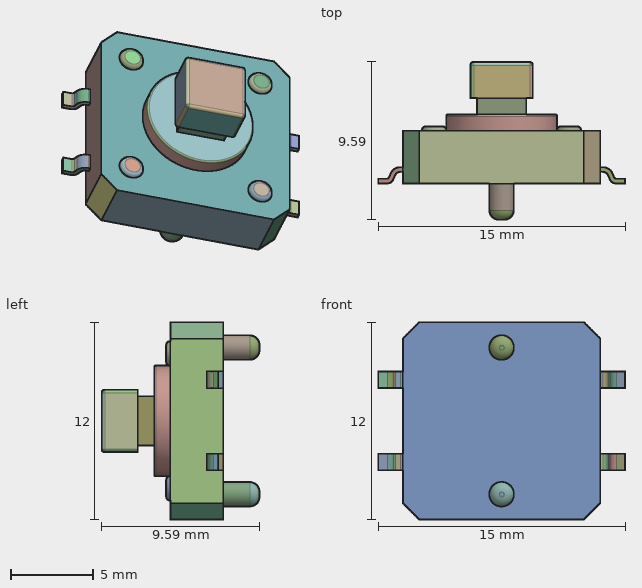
import cadquery as cq
import math


housing_side = 12.0
housing_depth = 3.21
corner_bevel = 1.0

peg_diameter = 1.5
peg_length = 2.2
peg_offset = 4.45
peg_tip_diameter = 0.3

disc_diameter = 6.75
disc_height = 0.99
disc_edge_radius = 0.1
stem_side = 3.0
stem_height = 0.99
cap_side = 3.8
cap_height = 2.2
cap_edge_radius = 0.2

rivet_diameter = 1.5
rivet_height = 0.27
rivet_edge_radius = 0.25
rivet_offset = 4.1

overall_width = 15.0
lead_width = 1.0
lead_thickness = 0.3
lead_spacing = 5.0
lead_top = 1.0
lead_root_length = 0.15
lead_slope_degrees = 67.0
upper_bend_radius = 0.5
lower_bend_radius = 0.27


def square_positions(offset):
    return [(x, z) for x in (-offset, offset) for z in (-offset, offset)]


def plane_at(y):
    """Plane at height y, facing +Y, with local axes along X and -Z."""
    return cq.Workplane(cq.Plane(origin=(0, y, 0), xDir=(1, 0, 0), normal=(0, 1, 0)))


def make_housing():
    block = plane_at(0).rect(housing_side, housing_side).extrude(housing_depth)
    block = block.edges("|Y").chamfer(corner_bevel)
    for z in (-peg_offset, peg_offset):
        block = block.union(make_peg(z))
    return block


def make_peg(z):
    """Peg hanging below the mounting face, with a rounded end that leaves a small flat tip."""
    dome_radius = (peg_diameter - peg_tip_diameter) / 2
    peg = plane_at(0).circle(peg_diameter / 2).extrude(-peg_length)
    return peg.faces("<Y").edges().fillet(dome_radius).translate((0, 0, z))


def make_plunger():
    stem_base = housing_depth + disc_height
    cap_base = stem_base + stem_height
    disc = plane_at(housing_depth).circle(disc_diameter / 2).extrude(disc_height)
    disc = disc.faces(">Y").edges().fillet(disc_edge_radius)
    stem = plane_at(stem_base).rect(stem_side, stem_side).extrude(stem_height)
    cap = plane_at(cap_base).rect(cap_side, cap_side).extrude(cap_height)
    cap = cap.edges("|Y or >Y").fillet(cap_edge_radius)
    return disc.union(stem).union(cap)


def make_rivet(x, z):
    rivet = plane_at(housing_depth).circle(rivet_diameter / 2).extrude(rivet_height)
    return rivet.faces(">Y").edges().fillet(rivet_edge_radius).translate((x, 0, z))


def make_lead(side, z):
    """Strip swept from the housing wall through two opposite bends down to a flat foot."""
    slope = math.radians(lead_slope_degrees)
    root_y = lead_top - lead_thickness / 2
    foot_y = lead_thickness / 2
    upper_run = upper_bend_radius * math.sin(slope)
    upper_drop = upper_bend_radius * (1 - math.cos(slope))
    lower_run = lower_bend_radius * math.sin(slope)
    lower_drop = lower_bend_radius * (1 - math.cos(slope))
    slope_drop = root_y - foot_y - upper_drop - lower_drop
    slope_run = slope_drop / math.tan(slope)

    wall_x = housing_side / 2
    upper_bend_x = wall_x + lead_root_length
    slope_x = upper_bend_x + upper_run
    lower_bend_x = slope_x + slope_run
    foot_x = lower_bend_x + lower_run

    centre_line = (
        cq.Workplane("XY")
        .moveTo(wall_x, root_y)
        .lineTo(upper_bend_x, root_y)
        .tangentArcPoint((slope_x, root_y - upper_drop), relative=False)
        .lineTo(lower_bend_x, foot_y + lower_drop)
        .tangentArcPoint((foot_x, foot_y), relative=False)
        .lineTo(overall_width / 2, foot_y)
    )
    section = cq.Workplane("YZ", origin=(wall_x, root_y, 0)).rect(lead_thickness, lead_width)
    lead = section.sweep(centre_line)
    if side < 0:
        lead = lead.mirror("YZ")
    return lead.translate((0, 0, z))


housing = make_housing()
plunger = make_plunger()
rivets = [make_rivet(x, z).solids().val() for x, z in square_positions(rivet_offset)]
leads = [
    make_lead(side, z).solids().val()
    for side in (-1, 1)
    for z in (-lead_spacing / 2, lead_spacing / 2)
]

result = cq.Compound.makeCompound([housing.solids().val(), plunger.solids().val(), *rivets, *leads])